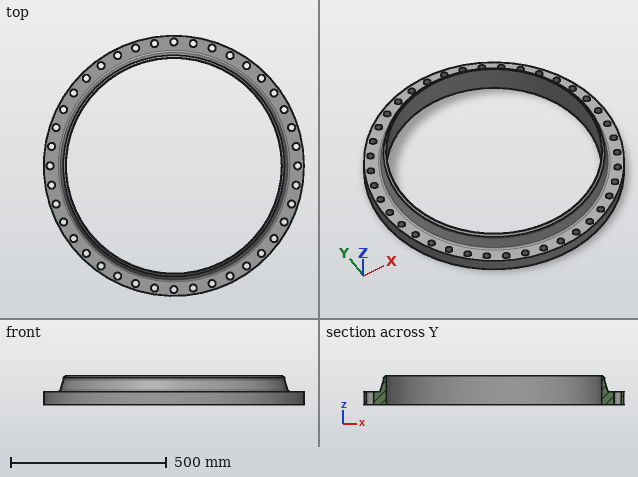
import cadquery as cq
import math

flange_radius = 837.0 / 2
flange_thickness = 43.0
total_height = 93.73

bore_radius = 692.2 / 2
pipe_radius = 711.2 / 2
hub_base_radius = 367.0
root_fillet_radius = 7.0
neck_cylinder_start = 81.5

weld_land = 1.6
bevel_angle = 37.5
bevel_height = (pipe_radius - bore_radius - weld_land) * math.tan(math.radians(bevel_angle))

bolt_count = 40
bolt_circle_radius = 795.5 / 2
bolt_hole_diameter = 22.4


def make_body():
    """Revolve the flange plate and its tapered welding neck about Z."""
    outline = [
        (bore_radius, 0),
        (flange_radius, 0),
        (flange_radius, flange_thickness),
        (hub_base_radius, flange_thickness),
        (pipe_radius, neck_cylinder_start),
        (pipe_radius, total_height - bevel_height),
        (bore_radius + weld_land, total_height),
        (bore_radius, total_height),
    ]
    return cq.Workplane("XZ").polyline(outline).close().revolve(360, (0, 0), (0, 1))


def fillet_hub_root(body):
    """Round the corner where the tapered hub meets the flange plate."""
    plate_face = body.faces("|Z").faces(">Z[-2]")
    inner_edge = plate_face.edges(cq.selectors.RadiusNthSelector(0))
    return inner_edge.fillet(root_fillet_radius)


def drill_bolt_holes(body):
    """Drill the ring of through holes, the first one on the +X axis."""
    drills = (
        cq.Workplane("XY")
        .polarArray(bolt_circle_radius, 0, 360, bolt_count)
        .circle(bolt_hole_diameter / 2)
        .extrude(flange_thickness)
    )
    return body.cut(drills)


result = drill_bolt_holes(fillet_hub_root(make_body()))